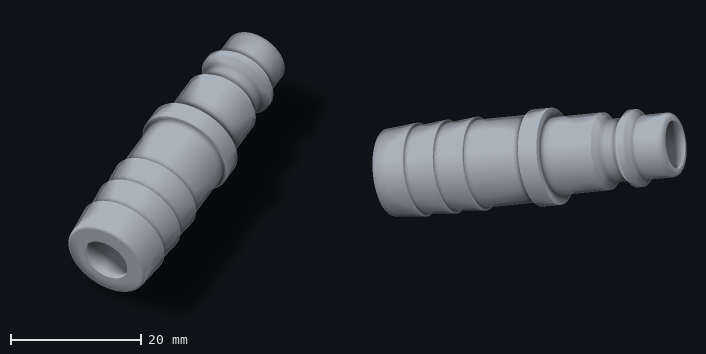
import cadquery as cq
import math

length = 48.0
bore_radius = 3.75

tip_radius = 5.0
neck_radius = 4.9
plug_radius = 6.0
flange_radius = 7.5
stem_radius = 6.75
barb_radius = 7.25

collar_start = 5.0
collar_crest_start = 6.0
collar_crest_end = 7.0
plug_body_start = 11.5
flange_start = 19.95
flange_width = 3.1
barb_start = 32.5
barb_pitch = 5.0
barb_count = 3

tip_rounding = 0.9
hose_end_rounding = 0.5
neck_fillet = 0.8
flange_fillet = 0.2

flank_depth = plug_radius - neck_radius
fillet_setback = neck_fillet * math.tan(math.pi / 8)
fillet_run = neck_fillet * math.sin(math.pi / 4)
fillet_rise = neck_fillet * (1 - math.cos(math.pi / 4))
fillet_radius_at_flank = neck_radius + fillet_rise
neck_start = collar_crest_end + flank_depth + fillet_setback
neck_end = plug_body_start - flank_depth - fillet_setback

flange_end = flange_start + flange_width
barb_end = length - hose_end_rounding


def at(radius, distance):
    """Profile point at a radius and a distance from the plug tip."""
    return (radius, length / 2 - distance)


def add_plug(profile):
    """Rounded tip, locking collar, neck and plug body."""
    return (
        profile.lineTo(*at(tip_radius - tip_rounding, 0))
        .radiusArc(at(tip_radius, tip_rounding), tip_rounding)
        .lineTo(*at(tip_radius, collar_start))
        .lineTo(*at(plug_radius, collar_crest_start))
        .lineTo(*at(plug_radius, collar_crest_end))
        .lineTo(*at(fillet_radius_at_flank, neck_start - fillet_run))
        .radiusArc(at(neck_radius, neck_start), -neck_fillet)
        .lineTo(*at(neck_radius, neck_end))
        .radiusArc(at(fillet_radius_at_flank, neck_end + fillet_run), -neck_fillet)
        .lineTo(*at(plug_radius, plug_body_start))
        .lineTo(*at(plug_radius, flange_start))
    )


def add_flange(profile):
    """Stop flange and the plain stem behind it."""
    return (
        profile.lineTo(*at(flange_radius, flange_start))
        .lineTo(*at(flange_radius, flange_end))
        .lineTo(*at(stem_radius + flange_fillet, flange_end))
        .radiusArc(at(stem_radius, flange_end + flange_fillet), -flange_fillet)
        .lineTo(*at(stem_radius, barb_start))
    )


def add_barbs(profile):
    """Hose barbs tapering towards the rounded hose end."""
    for index in range(barb_count):
        start = barb_start + index * barb_pitch
        is_last = index == barb_count - 1
        end = barb_end if is_last else start + barb_pitch
        profile = profile.lineTo(*at(barb_radius, start)).lineTo(*at(stem_radius, end))
    return profile.radiusArc(at(stem_radius - hose_end_rounding, length), hose_end_rounding)


profile = cq.Workplane("XY").moveTo(*at(bore_radius, 0))
profile = add_plug(profile)
profile = add_flange(profile)
profile = add_barbs(profile)
profile = profile.lineTo(*at(bore_radius, length)).close()

result = profile.revolve(360, (0, 0, 0), (0, 1, 0))